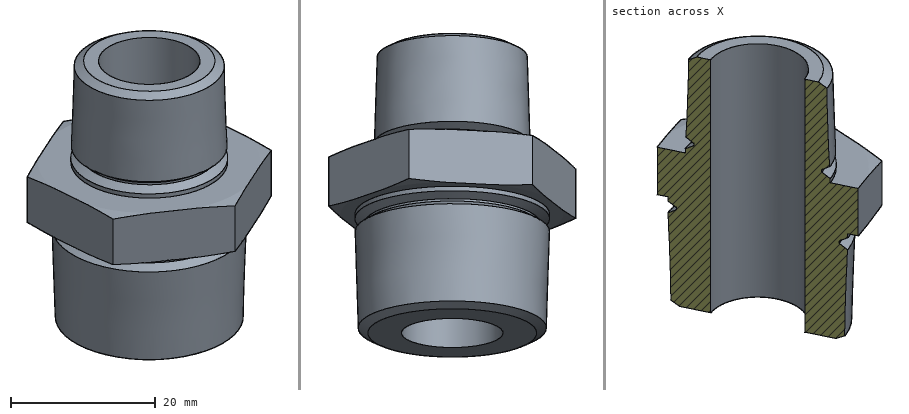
import cadquery as cq
import math

total_height = 40.5
across_flats = 30.0
hex_bottom = 17.15
hex_top = 24.8
hex_face_radius = 15.4
hex_corner_drop = 0.3

bore_radius = 7.0

taper = 1 / 32
end_chamfer_height = 0.73

collar_height = 0.65
groove_flank_height = 0.75
groove_floor_width = 0.32


def revolve_profile(points):
    """Revolve closed (radius, z) points about the Z axis."""
    return cq.Workplane("XZ").polyline(points).close().revolve(360, (0, 0, 0), (0, 1, 0))


def threaded_end(length, collar_radius, groove_radius, thread_radius, mouth_radius):
    """Stub rising from z = 0: collar, groove, tapered thread and end chamfer."""
    floor_start = collar_height + groove_flank_height
    floor_end = floor_start + groove_floor_width
    thread_start = floor_end + groove_flank_height
    thread_end = length - end_chamfer_height
    tip_radius = thread_radius - taper * (thread_end - thread_start)
    return revolve_profile([
        (0, 0),
        (collar_radius, 0),
        (collar_radius, collar_height),
        (groove_radius, floor_start),
        (groove_radius, floor_end),
        (thread_radius, thread_start),
        (tip_radius, thread_end),
        (mouth_radius, length),
        (0, length),
    ])


def chamfered_hexagon():
    """Hexagon with corners on X, its corners turned down on both faces."""
    corner_radius = across_flats / math.sqrt(3)
    prism = (
        cq.Workplane("XY", origin=(0, 0, hex_bottom))
        .polygon(6, 2 * corner_radius)
        .extrude(hex_top - hex_bottom)
    )
    turned_blank = revolve_profile([
        (0, hex_bottom),
        (hex_face_radius, hex_bottom),
        (corner_radius, hex_bottom + hex_corner_drop),
        (corner_radius, hex_top - hex_corner_drop),
        (hex_face_radius, hex_top),
        (0, hex_top),
    ])
    return prism.intersect(turned_blank)


upper_end = threaded_end(
    length=total_height - hex_top,
    collar_radius=10.85,
    groove_radius=9.6,
    thread_radius=10.77,
    mouth_radius=9.07,
).translate((0, 0, hex_top))

lower_end = threaded_end(
    length=hex_bottom,
    collar_radius=13.45,
    groove_radius=12.2,
    thread_radius=13.45,
    mouth_radius=11.65,
).rotate((0, 0, 0), (1, 0, 0), 180).translate((0, 0, hex_bottom))

bore = cq.Workplane("XY").circle(bore_radius).extrude(total_height)

result = chamfered_hexagon().union(upper_end).union(lower_end).cut(bore)